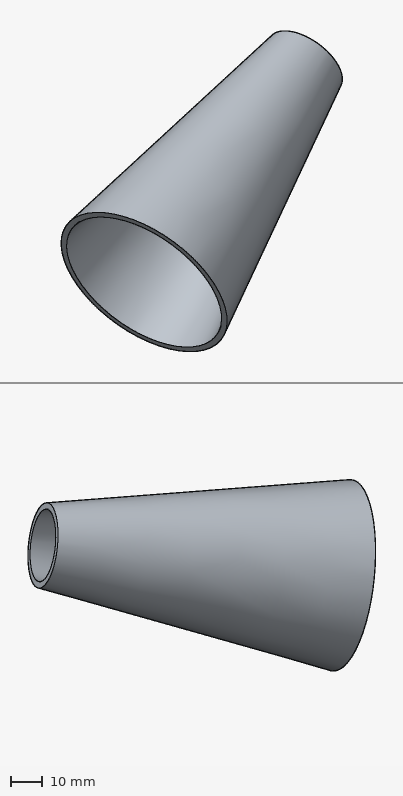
import cadquery as cq
import math

length = 100.0
wide_diameter = 60.3
narrow_diameter = 26.9
wall = 2.0

wide_radius = wide_diameter / 2
narrow_radius = narrow_diameter / 2

half_angle = math.atan((wide_radius - narrow_radius) / length)
rim_width = wall / math.cos(half_angle)

wall_section = (
    cq.Workplane("YZ")
    .moveTo(0, wide_radius - rim_width)
    .lineTo(0, wide_radius)
    .lineTo(length, narrow_radius)
    .lineTo(length, narrow_radius - rim_width)
    .close()
)

result = wall_section.revolve(360, (0, 0, 0), (1, 0, 0))